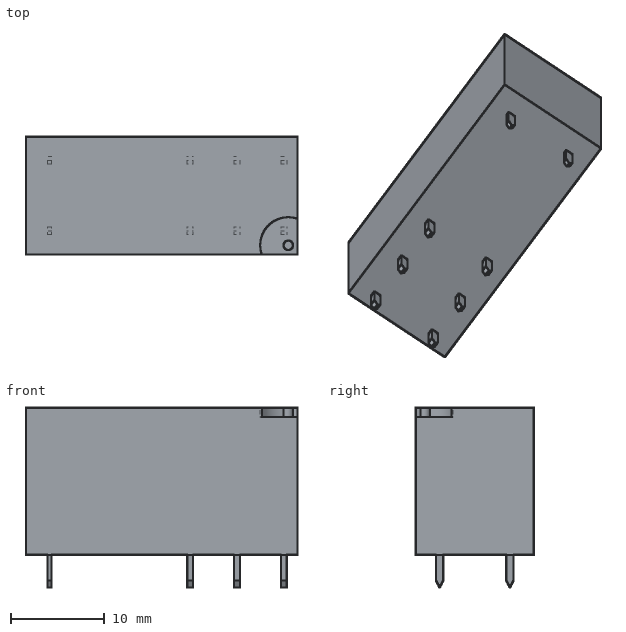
import cadquery as cq

BODY_LENGTH = 29.0
BODY_WIDTH = 12.6
BODY_HEIGHT = 15.7

RECESS_RADIUS = 3.0
RECESS_DEPTH = 1.0
POST_DIAMETER = 1.0
POST_INSET = 1.0

PIN_LENGTH = 3.5
PIN_TIP_LENGTH = 0.75
PIN_WIDTH = 0.8
COIL_PIN_THICKNESS = 0.45
CONTACT_PIN_THICKNESS = 0.65
ROW_SPACING = 7.5
COIL_PIN_INSET = 2.53
COIL_TO_CONTACT = 15.0
CONTACT_PITCH = 5.0
CONTACTS_PER_ROW = 3

COIL_X = -BODY_LENGTH / 2 + COIL_PIN_INSET
POST_X = BODY_LENGTH / 2 - POST_INSET
POST_Y = -BODY_WIDTH / 2 + POST_INSET


def make_housing():
    """Plain box with the corner recess cut into its top."""
    box = cq.Workplane("XY").box(BODY_LENGTH, BODY_WIDTH, BODY_HEIGHT, centered=(True, True, False))
    return box.cut(upright_cylinder(RECESS_RADIUS))


def upright_cylinder(radius):
    """Cylinder on the post axis, from the recess floor to the housing top."""
    floor = cq.Workplane("XY", origin=(POST_X, POST_Y, BODY_HEIGHT - RECESS_DEPTH))
    return floor.circle(radius).extrude(RECESS_DEPTH)


def make_pin(x, y, thickness):
    """Flat pin hanging from the underside, tapered in Y to a sharp edge."""
    half_width = PIN_WIDTH / 2
    shoulder_z = PIN_TIP_LENGTH - PIN_LENGTH
    profile = (
        cq.Workplane("YZ", origin=(x, y, 0))
        .moveTo(-half_width, 0)
        .lineTo(-half_width, shoulder_z)
        .lineTo(0, -PIN_LENGTH)
        .lineTo(half_width, shoulder_z)
        .lineTo(half_width, 0)
        .close()
    )
    return profile.extrude(thickness / 2, both=True)


result = make_housing().union(upright_cylinder(POST_DIAMETER / 2))
for row_y in (-ROW_SPACING / 2, ROW_SPACING / 2):
    result = result.union(make_pin(COIL_X, row_y, COIL_PIN_THICKNESS))
    for index in range(CONTACTS_PER_ROW):
        contact_x = COIL_X + COIL_TO_CONTACT + index * CONTACT_PITCH
        result = result.union(make_pin(contact_x, row_y, CONTACT_PIN_THICKNESS))